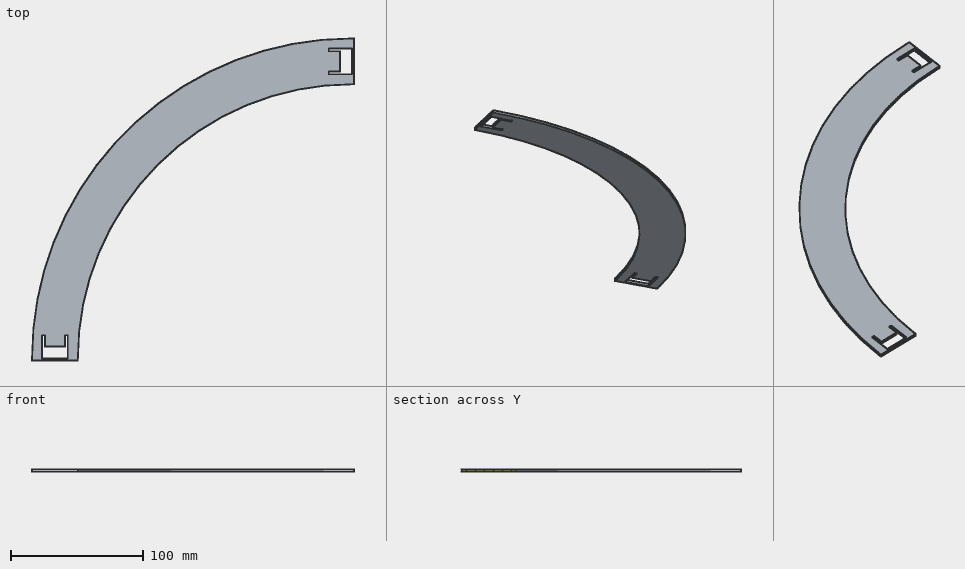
import cadquery as cq
import math

overall_size = 244.0
band_width = 35.0
thickness = 2.1
straight_length = 2.0

window_width = 19.3
window_length = 17.3
end_margin = 1.7
outer_margin = 7.8
tab_length = 8.5
tab_clearance = 2.0

outer_radius = overall_size - straight_length
inner_radius = outer_radius - band_width
window_centre_x = -(overall_size - outer_margin - window_width / 2)


def arc_middle(radius):
    """Point halfway along an arc of the band, on the diagonal of the part."""
    reach = straight_length + radius * math.sin(math.pi / 4)
    return (-reach, reach)


def curved_band():
    """Solid band, straight at both ends and a quarter ring between them."""
    inner_reach = overall_size - band_width
    return (
        cq.Workplane("XY")
        .moveTo(-overall_size, 0)
        .lineTo(-overall_size, straight_length)
        .threePointArc(arc_middle(outer_radius), (-straight_length, overall_size))
        .lineTo(0, overall_size)
        .lineTo(0, inner_reach)
        .lineTo(-straight_length, inner_reach)
        .threePointArc(arc_middle(inner_radius), (-inner_reach, straight_length))
        .lineTo(-inner_reach, 0)
        .close()
        .extrude(thickness)
    )


def tab_window():
    """Cutter for the opening at the Y = 0 end, with the tab left out of it."""
    opening = (
        cq.Workplane("XY")
        .center(window_centre_x, end_margin + window_length / 2)
        .rect(window_width, window_length)
        .extrude(thickness)
    )
    tab = (
        cq.Workplane("XY")
        .center(window_centre_x, end_margin + window_length - tab_length / 2)
        .rect(window_width - 2 * tab_clearance, tab_length)
        .extrude(thickness)
    )
    return opening.cut(tab)


window_at_y0_end = tab_window()
window_at_x0_end = window_at_y0_end.rotate((0, 0, 0), (0, 0, 1), -90).mirror("YZ")

result = curved_band().cut(window_at_y0_end).cut(window_at_x0_end)